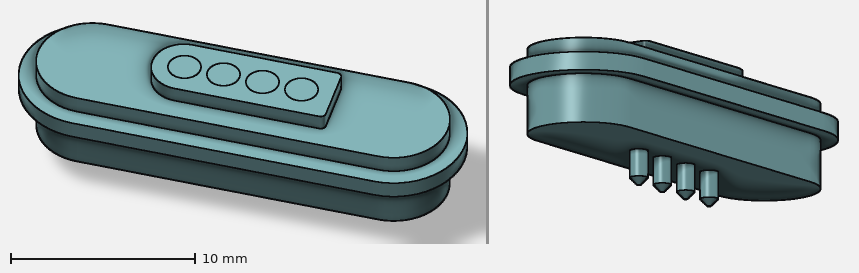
import cadquery as cq

straight_length = 17.0
body_width = 6.1
body_height = 4.7
flange_width = 8.0
flange_thickness = 1.0
flange_bottom = 2.7

tongue_width = 3.6
tongue_height = 0.9
tongue_nose_radius = 1.75
tongue_corner_radius = 0.3
top = body_height + tongue_height

pin_count = 4
pin_pitch = 2.2
head_diameter = 1.8
head_depth = tongue_height
tail_diameter = 1.0
tail_projection = 1.9
tip_chamfer = 0.4

first_pin_x = -pin_pitch * (pin_count - 1) / 2
pin_positions = [first_pin_x + i * pin_pitch for i in range(pin_count)]
tongue_length = pin_pitch * (pin_count - 1) + tongue_width


def stadium(width, bottom, height):
    """Upright plate with full-round ends, all sharing the same end centres."""
    outline = cq.Workplane("XY").workplane(offset=bottom).slot2D(straight_length + width, width)
    return outline.extrude(height)


def make_tongue():
    block = (
        cq.Workplane("XY")
        .workplane(offset=body_height)
        .box(tongue_length, tongue_width, tongue_height, centered=(True, True, False))
    )
    block = block.edges("|Z and <X").fillet(tongue_nose_radius)
    return block.edges("|Z and >X").fillet(tongue_corner_radius)


def make_pin(x):
    """Stepped pin with a conical tip."""
    head = (
        cq.Workplane("XY", origin=(x, 0, top - head_depth))
        .circle(head_diameter / 2)
        .extrude(head_depth)
    )
    tail = (
        cq.Workplane("XY", origin=(x, 0, -tail_projection))
        .circle(tail_diameter / 2)
        .extrude(tail_projection + top - head_depth)
        .faces("<Z")
        .chamfer(tip_chamfer)
    )
    return head.union(tail)


pins = [make_pin(x) for x in pin_positions]

housing = stadium(body_width, 0, body_height)
housing = housing.union(stadium(flange_width, flange_bottom, flange_thickness))
housing = housing.union(make_tongue())
for pin in pins:
    housing = housing.cut(pin)

result = cq.Compound.makeCompound([housing.val(), *[pin.val() for pin in pins]])